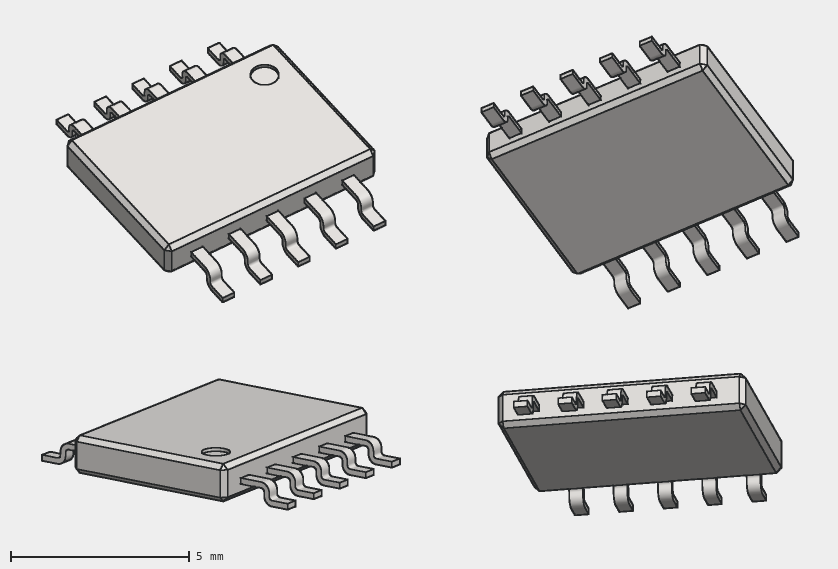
import cadquery as cq

HOUSING_WIDTH = 5.22
HOUSING_LENGTH = 7.08
TOP_Z = 1.2
STANDOFF = 0.1
HOUSING_HEIGHT = TOP_Z - STANDOFF
HOUSING_CHAMFER = 0.15

LEAD_SPAN = 8.42
LEAD_WIDTH = 0.395
LEAD_THICKNESS = 0.18
LEAD_PITCH = 1.27
LEAD_COUNT = 5
FOOT_LENGTH = 0.53
SHOULDER_TOP_Z = 0.66
INNER_BEND_RADIUS = 0.1
OUTER_BEND_RADIUS = INNER_BEND_RADIUS + LEAD_THICKNESS

MARKER_DIAMETER = 0.8
MARKER_EDGE_DISTANCE = 1.0
MARKER_X = -HOUSING_WIDTH / 2 + MARKER_EDGE_DISTANCE
MARKER_Y = HOUSING_LENGTH / 2 - MARKER_EDGE_DISTANCE
MARKER_RECESS = 0.1
MARKER_THICKNESS = 0.1


def make_lead(y_center):
    """One flat strip, bent down to a foot at each end, centred on y_center."""
    tip_x = LEAD_SPAN / 2
    leg_outer_x = tip_x - FOOT_LENGTH - INNER_BEND_RADIUS
    leg_inner_x = leg_outer_x - LEAD_THICKNESS
    shoulder_bottom_z = SHOULDER_TOP_Z - LEAD_THICKNESS

    profile = (
        cq.Workplane("XZ", origin=(0, y_center + LEAD_WIDTH / 2, 0))
        .moveTo(0, SHOULDER_TOP_Z)
        .lineTo(leg_outer_x - OUTER_BEND_RADIUS, SHOULDER_TOP_Z)
        .radiusArc((leg_outer_x, SHOULDER_TOP_Z - OUTER_BEND_RADIUS), OUTER_BEND_RADIUS)
        .lineTo(leg_outer_x, LEAD_THICKNESS + INNER_BEND_RADIUS)
        .radiusArc((tip_x - FOOT_LENGTH, LEAD_THICKNESS), -INNER_BEND_RADIUS)
        .lineTo(tip_x, LEAD_THICKNESS)
        .lineTo(tip_x, 0)
        .lineTo(leg_inner_x + OUTER_BEND_RADIUS, 0)
        .radiusArc((leg_inner_x, OUTER_BEND_RADIUS), OUTER_BEND_RADIUS)
        .lineTo(leg_inner_x, shoulder_bottom_z - INNER_BEND_RADIUS)
        .radiusArc((leg_inner_x - INNER_BEND_RADIUS, shoulder_bottom_z), -INNER_BEND_RADIUS)
        .lineTo(0, shoulder_bottom_z)
        .mirrorY()
    )
    return profile.extrude(LEAD_WIDTH)


def make_marker_cylinder(top_z, height):
    """A cylinder on the marker axis, reaching down from top_z."""
    return (
        cq.Workplane("XY", origin=(MARKER_X, MARKER_Y, top_z))
        .circle(MARKER_DIAMETER / 2)
        .extrude(-height)
    )


def make_housing(leads):
    """The chamfered block, with a slot for each lead and a pocket for the marker."""
    housing = (
        cq.Workplane("XY", origin=(0, 0, STANDOFF))
        .box(HOUSING_WIDTH, HOUSING_LENGTH, HOUSING_HEIGHT, centered=(True, True, False))
        .edges()
        .chamfer(HOUSING_CHAMFER)
    )
    housing = housing.cut(make_marker_cylinder(TOP_Z, MARKER_RECESS + MARKER_THICKNESS))
    for lead in leads:
        housing = housing.cut(lead)
    return housing.solids()


leads = []
for index in range(LEAD_COUNT):
    lead_y = (index - (LEAD_COUNT - 1) / 2) * LEAD_PITCH
    leads.append(make_lead(lead_y))

marker = make_marker_cylinder(TOP_Z - MARKER_RECESS, MARKER_THICKNESS)
housing = make_housing(leads)

result = cq.Compound.makeCompound([housing.val(), marker.val(), *[lead.val() for lead in leads]])